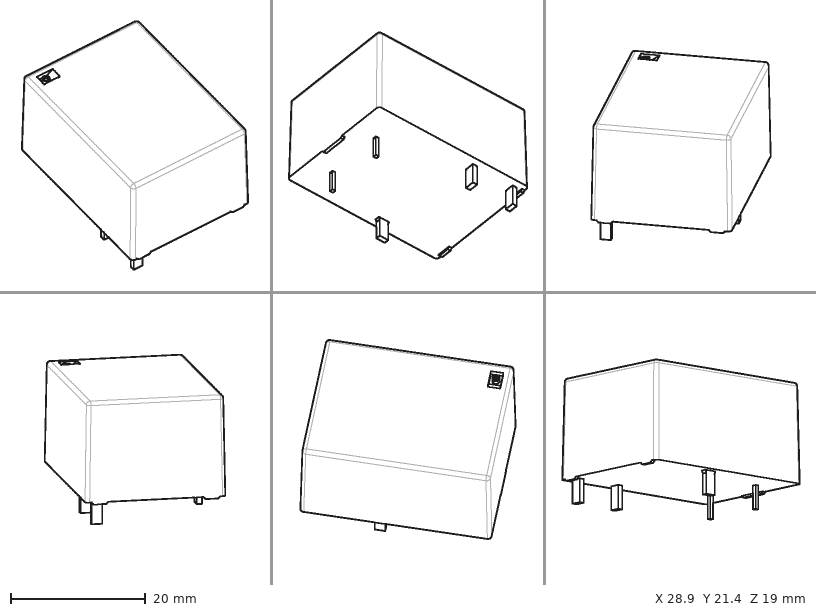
import cadquery as cq
import math

length = 28.9
width = 21.4
height = 15.35
draft_angle = 1.0
edge_radius = 0.58

foot_drop = 0.32
foot_thickness = 0.55
middle_foot_center_y = 0.23
middle_foot_width = 4.68
corner_foot_center_y = 8.53
corner_foot_width = 2.55

pin_drop = 3.6
coil_pin_side = 0.58
coil_pin_x = -10.15
coil_pin_center_y = 0.217
coil_pin_pitch = 10.15
contact_pin_thickness = 0.8
contact_pin_width = 1.62
contact_pin_y = -8.67
contact_pin_xs = (5.1, 12.75)
common_pin_x = 2.55
common_pin_y = 9.07
shoulder_drop = 0.43
shoulder_overhang = 0.17

pocket_x = -11.88
pocket_width = 1.88
pocket_front_y = -8.81
pocket_slope_foot_y = -7.02
pocket_back_y = -5.95
pocket_depth = 0.8
ring_y = -7.83
ring_outer_radius = 0.58
ring_inner_radius = 0.3
ring_height = 0.65
ring_bore_chamfer = 0.15


def make_drafted_block():
    """Solid with the drafted cover walls, reaching down to the soles of the feet."""
    slope = math.tan(math.radians(draft_angle))
    flare = slope * foot_drop
    full_height = height + foot_drop
    inset = slope * full_height
    base_width = width + 2 * flare
    block = (
        cq.Workplane("XY", origin=(0, 0, -foot_drop))
        .rect(length, base_width)
        .workplane(offset=full_height)
        .rect(length - 2 * inset, base_width - 2 * inset)
        .loft(ruled=True)
    )
    return block.edges("not <Z").fillet(edge_radius)


def make_foot_space(end, center_y, foot_width):
    """Space kept for a foot under an end wall (end = -1 or 1), with 45 degree flanks."""
    half = foot_width / 2
    outline = [
        (center_y - half, 0),
        (center_y - half + foot_drop, -foot_drop),
        (center_y + half - foot_drop, -foot_drop),
        (center_y + half, 0),
    ]
    end_plane = cq.Workplane("YZ", origin=(end * length / 2, 0, 0))
    return end_plane.polyline(outline).close().extrude(-end * foot_thickness)


def make_cover():
    """Cover with its underside at z = 0 and feet flush with the end walls."""
    under_space = cq.Workplane("XY").rect(2 * length, 2 * width).extrude(-2 * foot_drop)
    under_space = under_space.cut(make_foot_space(-1, middle_foot_center_y, middle_foot_width))
    for side in (-1, 1):
        under_space = under_space.cut(make_foot_space(1, side * corner_foot_center_y, corner_foot_width))
    return make_drafted_block().cut(under_space)


def make_pin(x, y, size_x, size_y):
    return cq.Workplane("XY").center(x, y).rect(size_x, size_y).extrude(-pin_drop)


def make_common_shoulder():
    half = contact_pin_width / 2
    outline = [
        (common_pin_x - half - shoulder_overhang, 0),
        (common_pin_x - half, -shoulder_drop),
        (common_pin_x + half, -shoulder_drop),
        (common_pin_x + half + shoulder_overhang, 0),
    ]
    shoulder = cq.Workplane("XZ", origin=(0, common_pin_y, 0)).polyline(outline).close()
    return shoulder.extrude(contact_pin_thickness / 2, both=True)


def make_pocket():
    floor_z = height - pocket_depth
    outline = [
        (pocket_front_y, height),
        (pocket_front_y, floor_z),
        (pocket_slope_foot_y, floor_z),
        (pocket_back_y, height),
    ]
    profile = cq.Workplane("YZ", origin=(pocket_x, 0, 0)).polyline(outline).close()
    return profile.extrude(pocket_width / 2, both=True)


def make_ring():
    base = cq.Workplane("XY", origin=(pocket_x, ring_y, height - pocket_depth))
    ring = base.circle(ring_outer_radius).circle(ring_inner_radius).extrude(ring_height)
    bore_rim = ring.faces(">Z").edges(cq.selectors.RadiusNthSelector(0))
    return bore_rim.chamfer(ring_bore_chamfer)


result = make_cover().cut(make_pocket()).union(make_ring())

for side in (-1, 1):
    coil_pin_y = coil_pin_center_y + side * coil_pin_pitch / 2
    result = result.union(make_pin(coil_pin_x, coil_pin_y, coil_pin_side, coil_pin_side))
for contact_x in contact_pin_xs:
    result = result.union(make_pin(contact_x, contact_pin_y, contact_pin_thickness, contact_pin_width))
result = result.union(make_pin(common_pin_x, common_pin_y, contact_pin_width, contact_pin_thickness))
result = result.union(make_common_shoulder())